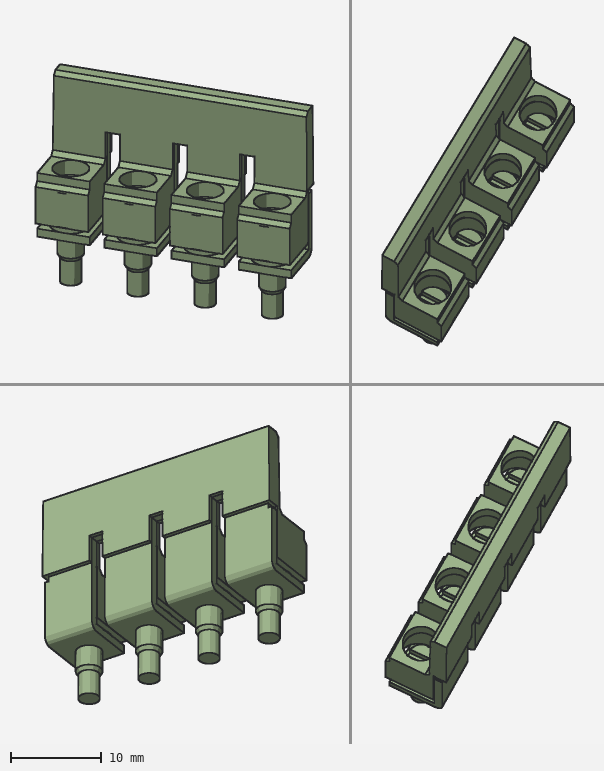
import cadquery as cq


pole_count = 4
pole_pitch = 7.91
pole_width = 6.2
pole_x = [(i - (pole_count - 1) / 2) * pole_pitch for i in range(pole_count)]
overall_length = (pole_count - 1) * pole_pitch + pole_width

plate_bottom = 14.4
plate_top = 24.0
plate_depth = 2.1
draft_offset = 0.1
plate_chamfer = 0.5
slot_top = 17.6
slot_width = pole_pitch - pole_width

block_back = 1.6
block_front = 7.54
block_bottom = 7.85
block_height = 6.0
block_top = block_bottom + block_height
block_chamfer = 0.5
lip_drop = 1.0
lip_top = block_top - lip_drop

bar_back = 0.5
bar_thickness = 1.0
bar_inner = bar_back + bar_thickness
bar_bottom = 6.0
arm_top = bar_bottom + bar_thickness
bar_front = block_front - block_chamfer
bend_radius = 1.0
end_inset = 0.5
comb_length = overall_length - 2 * end_inset
spine_height = 2.0
comb_top = slot_top + spine_height

screw_y = -4.7
head_radius = 1.65
head_top = 9.7
flange_radius = 2.37
flange_top = 7.65
shank_radius = 1.5
shank_bottom = 3.5
tip_radius = 1.2
tip_top = 3.0
driver_slot_width = 0.8
driver_slot_depth = 1.0

opening_radius = 2.05
chamber_radius = 2.4
chamber_y = screw_y - (chamber_radius - opening_radius)
opening_depth = 1.8
chamber_top = block_top - opening_depth


def box_between(x_range, y_range, z_range):
    """Box spanning the given (low, high) ranges."""
    size = [high - low for low, high in (x_range, y_range, z_range)]
    corner = (x_range[0], y_range[0], z_range[0])
    return cq.Workplane("XY").box(*size, centered=False).translate(corner)


def around(centre, width):
    """Range of the given width about a centre."""
    return (centre - width / 2, centre + width / 2)


def cylinder(x, y, radius, bottom, top):
    return cq.Workplane("XY", origin=(x, y, bottom)).circle(radius).extrude(top - bottom)


def extrude_side_profile(profile, x, width):
    """Extrude a closed Y-Z outline along X, centred on x."""
    return profile.extrude(width / 2, both=True).translate((x, 0, 0))


def cut_pole_slots(body):
    """Open the slots between neighbouring poles, up to the slot tops."""
    for x in pole_x[:-1]:
        slot_x = around(x + pole_pitch / 2, slot_width)
        body = body.cut(box_between(slot_x, (-plate_depth, 0), (block_bottom, slot_top)))
    return body


def make_plate():
    front_top = plate_depth - draft_offset
    side = (
        cq.Workplane("YZ")
        .moveTo(0, plate_bottom)
        .lineTo(-plate_depth, plate_bottom)
        .lineTo(-front_top, plate_top - plate_chamfer)
        .lineTo(-front_top + plate_chamfer, plate_top)
        .lineTo(0, plate_top)
        .close()
    )
    half_bottom = overall_length / 2
    half_top = half_bottom - draft_offset
    face = (
        cq.Workplane("XZ")
        .moveTo(-half_bottom, plate_bottom)
        .lineTo(half_bottom, plate_bottom)
        .lineTo(half_top, plate_top)
        .lineTo(-half_top, plate_top)
        .close()
        .extrude(plate_depth)
    )
    plate = extrude_side_profile(side, 0, overall_length).intersect(face)
    return cut_pole_slots(plate)


def make_block(x):
    side = (
        cq.Workplane("YZ")
        .moveTo(-block_back, block_bottom)
        .lineTo(-block_front, block_bottom)
        .lineTo(-block_front, lip_top - block_chamfer)
        .lineTo(-block_front + block_chamfer, lip_top)
        .lineTo(-block_front + block_chamfer, block_top)
        .lineTo(-plate_depth - block_chamfer, block_top)
        .lineTo(-plate_depth, plate_bottom)
        .lineTo(-block_back, plate_bottom)
        .close()
    )
    opening = cylinder(x, screw_y, opening_radius, block_bottom, block_top)
    chamber = cylinder(x, chamber_y, chamber_radius, block_bottom, chamber_top)
    return extrude_side_profile(side, x, pole_width).cut(opening).cut(chamber)


def make_finger(x):
    """L-shaped busbar finger, reaching up to the level of the block top."""
    side = (
        cq.Workplane("YZ")
        .moveTo(-bar_back, block_top)
        .lineTo(-bar_back, bar_bottom + bend_radius)
        .radiusArc((-bar_back - bend_radius, bar_bottom), bend_radius)
        .lineTo(-bar_front, bar_bottom)
        .lineTo(-bar_front, arm_top)
        .lineTo(-bar_inner, arm_top)
        .lineTo(-bar_inner, block_top)
        .close()
    )
    return extrude_side_profile(side, x, pole_width)


def make_comb():
    """Upper busbar plate: necks flush with the pole slots and a spine joining them above.

    It is inset at both ends, where the housing plate covers it.
    """
    comb = box_between(
        around(0, comb_length),
        (-bar_inner, -bar_back),
        (block_top, comb_top),
    )
    return cut_pole_slots(comb)


def make_screw(x):
    """Slotted screw with a flange resting on the finger and a stepped shank below."""
    profile = (
        cq.Workplane("XZ")
        .moveTo(0, 0)
        .lineTo(tip_radius, 0)
        .lineTo(tip_radius, tip_top)
        .lineTo(shank_radius, shank_bottom)
        .lineTo(shank_radius, arm_top)
        .lineTo(flange_radius, arm_top)
        .lineTo(flange_radius, flange_top)
        .lineTo(head_radius, flange_top)
        .lineTo(head_radius, head_top)
        .lineTo(0, head_top)
        .close()
    )
    screw = profile.revolve(360, (0, 0, 0), (0, 1, 0)).translate((x, screw_y, 0))
    driver_slot = box_between(
        around(x, driver_slot_width),
        around(screw_y, 2 * head_radius),
        (head_top - driver_slot_depth, head_top),
    )
    return screw.cut(driver_slot)


def make_busbar():
    """Comb with a finger and a screw at each pole."""
    busbar = make_comb()
    for x in pole_x:
        busbar = busbar.union(make_finger(x)).union(make_screw(x))
    return busbar


def make_housing(busbar):
    """Plate and terminal blocks, with the cavity that holds the busbar."""
    housing = make_plate()
    for x in pole_x:
        housing = housing.union(make_block(x))
    return housing.cut(busbar)


busbar = make_busbar()
housing = make_housing(busbar)

result = cq.Compound.makeCompound([*housing.solids().vals(), *busbar.solids().vals()])